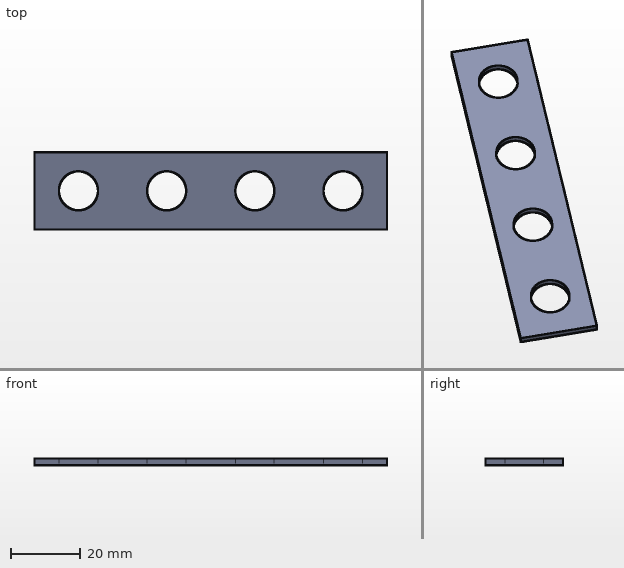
import cadquery as cq

length = 101.6
width = 22.4
thickness = 2.0

hole_count = 4
hole_diameter = 11.2
hole_pitch = length / hole_count

strip = cq.Workplane("XY").box(length, width, thickness)

result = (
    strip.faces(">Z")
    .workplane()
    .rarray(hole_pitch, 1, hole_count, 1)
    .hole(hole_diameter)
)